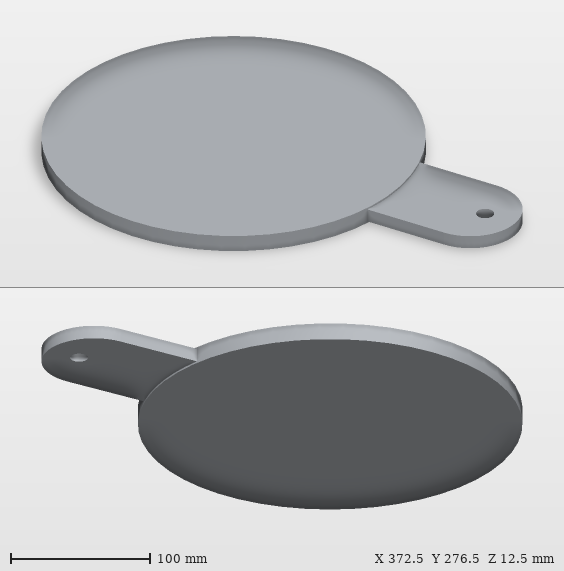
import cadquery as cq

overall_length = 372.5
disc_diameter = 276.5
disc_thickness = 12.5
handle_width = 75.3
handle_thickness = 10.0
hole_diameter = 13.0
hole_to_handle_end = 25.5

disc_radius = disc_diameter / 2
handle_end_radius = handle_width / 2
handle_end_x = overall_length - disc_radius
handle_round_x = handle_end_x - handle_end_radius
hole_x = handle_end_x - hole_to_handle_end


def make_disc():
    """Round plate centred on the origin at mid-thickness."""
    return cq.Workplane("XY").circle(disc_radius).extrude(disc_thickness / 2, both=True)


def make_handle():
    """Thinner flat tab along +X with a full-round end, starting inside the disc."""
    return (
        cq.Workplane("XY")
        .moveTo(0, -handle_end_radius)
        .lineTo(handle_round_x, -handle_end_radius)
        .threePointArc((handle_end_x, 0), (handle_round_x, handle_end_radius))
        .lineTo(0, handle_end_radius)
        .close()
        .extrude(handle_thickness / 2, both=True)
    )


def make_hanging_hole():
    """Cutter for the hole through the handle near its free end."""
    return (
        cq.Workplane("XY")
        .center(hole_x, 0)
        .circle(hole_diameter / 2)
        .extrude(handle_thickness, both=True)
    )


result = make_disc().union(make_handle()).cut(make_hanging_hole())